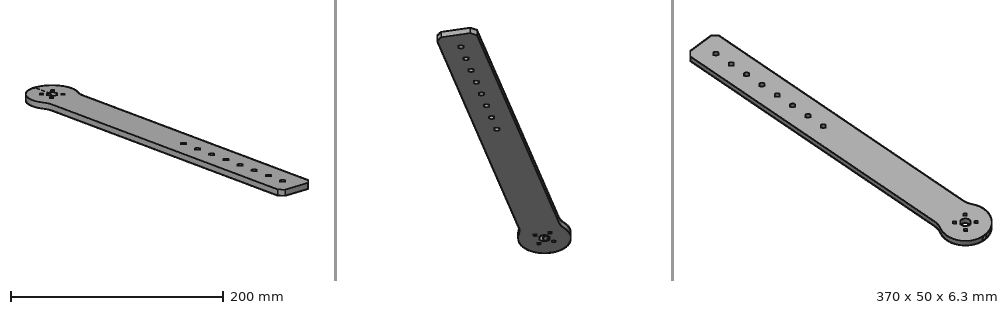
import cadquery as cq
import math

length = 370.0
thickness = 6.3
head_diameter = 50.0
head_radius = head_diameter / 2
arm_width = 39.0
neck_radius = 20.0
corner_chamfer = 5.0

bore_diameter = 10.0
bolt_hole_diameter = 3.5
bolt_spacing = 14.5
edge_hole_diameter = 5.0

row_count = 8
row_pitch = 20.0
row_hole_diameter = 5.0
row_end_margin = 20.0

tip_x = length - head_radius
half_arm = arm_width / 2


def plate():
    """Round head blended into a straight arm with chamfered end corners."""
    neck_center_y = half_arm + neck_radius
    neck_center_x = math.sqrt((head_radius + neck_radius) ** 2 - neck_center_y**2)
    tangent_ratio = head_radius / (head_radius + neck_radius)
    head_x = neck_center_x * tangent_ratio
    head_y = neck_center_y * tangent_ratio
    return (
        cq.Workplane("XY")
        .moveTo(head_x, -head_y)
        .radiusArc((neck_center_x, -half_arm), neck_radius)
        .lineTo(tip_x - corner_chamfer, -half_arm)
        .lineTo(tip_x, -half_arm + corner_chamfer)
        .lineTo(tip_x, half_arm - corner_chamfer)
        .lineTo(tip_x - corner_chamfer, half_arm)
        .lineTo(neck_center_x, half_arm)
        .radiusArc((head_x, head_y), neck_radius)
        .threePointArc((-head_radius, 0), (head_x, -head_y))
        .close()
        .extrude(thickness)
    )


def through_holes(points, diameter):
    """Vertical cutters through the full thickness."""
    return cq.Workplane("XY").pushPoints(points).circle(diameter / 2).extrude(thickness)


def edge_hole():
    """Horizontal cutter from the head's rim to the central bore, at mid thickness."""
    return (
        cq.Workplane("YZ", origin=(-head_radius, 0, 0))
        .center(0, thickness / 2)
        .circle(edge_hole_diameter / 2)
        .extrude(head_radius)
    )


half_bolt = bolt_spacing / 2
bolt_points = [(x, y) for x in (-half_bolt, half_bolt) for y in (-half_bolt, half_bolt)]
row_points = [(tip_x - row_end_margin - i * row_pitch, 0) for i in range(row_count)]

result = (
    plate()
    .cut(through_holes([(0, 0)], bore_diameter))
    .cut(through_holes(bolt_points, bolt_hole_diameter))
    .cut(through_holes(row_points, row_hole_diameter))
    .cut(edge_hole())
)